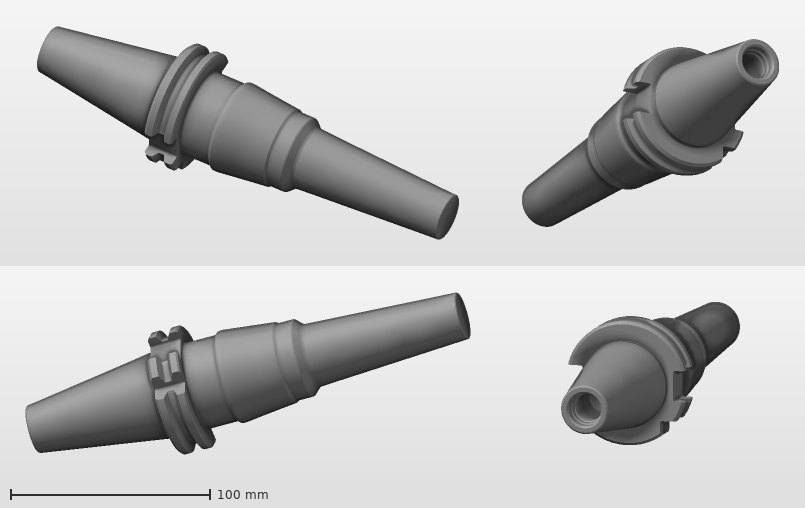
import cadquery as cq
import math

total_length = 228.2

gauge_x = 67.5
gauge_radius = 22.1
shank_slope = 7 / 48
shank_end_chamfer = 0.7
neck_start_x = 69.0
neck_radius = 21.7
neck_root_fillet = 0.5

flange_start_x = 71.0
flange_end_x = 87.0
flange_radius = 31.7
flange_front_chamfer = 1.4
flange_back_chamfer = 1.0
groove_center_x = 79.2
groove_root_fillet = 0.7
groove_floor_radius = 27.8
groove_floor_width = 3.2
groove_flank_angle = 27.0

body_radius = 22.4
body_root_fillet = 1.1
collar_radius = 24.0
collar_start_x = 103.5
collar_end_x = 107.3
collar_root_fillet = 1.0
collar_rim_fillet = 1.4
body_cone_end_x = 134.2
body_cone_end_radius = 21.0
band_start_x = 135.5
band_radius = 20.0
band_root_fillet = 1.1
band_end_x = 143.8
band_fillet = 1.4

nose_start_x = 148.0
nose_tip_radius = 12.0
nose_angle = 3.0
nose_root_fillet = 2.3
nose_tip_chamfer = 0.5

keyway_width = 16.0
keyway_floor_front = 24.9
keyway_floor_back = 22.5
notch_offset = 18.0
pocket_fillet = 1.1

bore_mouth_radius = 9.4
counterbore_radius = 8.5
counterbore_depth = 4.0
relief_radius = 7.8
thread_radius = 7.0
thread_start_x = 8.0
thread_end_x = 32.0
drill_tip_angle = 59.0


def turned(profile):
    """Revolve a closed (x, radius) outline about the X axis."""
    return cq.Workplane("XY").polyline(profile).close().revolve(360, (0, 0, 0), (1, 0, 0))


def round_rim(solid, x, radius, fillet):
    """Fillet the circular edge of the given radius at station x."""
    reach = 0.11
    outer = radius + reach
    box = cq.selectors.BoxSelector((x - reach, -outer, -outer), (x + reach, outer, outer), boundingbox=True)
    rim = solid.edges(box).edges(cq.selectors.RadiusNthSelector(-1))
    return solid.newObject(rim.vals()).fillet(fillet)


def make_body():
    shank_tip_radius = gauge_radius - gauge_x * shank_slope
    groove_floor_half = groove_floor_width / 2
    groove_depth = flange_radius - groove_floor_radius
    groove_mouth_half = groove_floor_half + groove_depth * math.tan(math.radians(groove_flank_angle))
    collar_rise = collar_radius - body_radius
    nose_root_radius = nose_tip_radius + (total_length - nose_start_x) * math.tan(math.radians(nose_angle))

    profile = [
        (0, 0),
        (0, shank_tip_radius - shank_end_chamfer),
        (shank_end_chamfer, shank_tip_radius + shank_end_chamfer * shank_slope),
        (gauge_x, gauge_radius),
        (neck_start_x, neck_radius),
        (flange_start_x, neck_radius),
        (flange_start_x, flange_radius - flange_front_chamfer),
        (flange_start_x + flange_front_chamfer, flange_radius),
        (groove_center_x - groove_mouth_half, flange_radius),
        (groove_center_x - groove_floor_half, groove_floor_radius),
        (groove_center_x + groove_floor_half, groove_floor_radius),
        (groove_center_x + groove_mouth_half, flange_radius),
        (flange_end_x - flange_back_chamfer, flange_radius),
        (flange_end_x, flange_radius - flange_back_chamfer),
        (flange_end_x, body_radius),
        (collar_start_x, body_radius),
        (collar_start_x + collar_rise, collar_radius),
        (collar_end_x, collar_radius),
        (body_cone_end_x, body_cone_end_radius),
        (band_start_x, band_radius),
        (band_end_x, band_radius),
        (nose_start_x, nose_root_radius),
        (total_length - nose_tip_chamfer, nose_tip_radius),
        (total_length, nose_tip_radius - nose_tip_chamfer),
        (total_length, 0),
    ]
    body = turned(profile)
    body = round_rim(body, flange_start_x, neck_radius, neck_root_fillet)
    for side in (-1, 1):
        root_x = groove_center_x + side * groove_floor_half
        body = round_rim(body, root_x, groove_floor_radius, groove_root_fillet)
    body = round_rim(body, flange_end_x, body_radius, body_root_fillet)
    body = round_rim(body, collar_start_x, body_radius, collar_root_fillet)
    body = round_rim(body, collar_start_x + collar_rise, collar_radius, collar_rim_fillet)
    body = round_rim(body, band_start_x, band_radius, band_root_fillet)
    body = round_rim(body, band_end_x, band_radius, band_fillet)
    return round_rim(body, nose_start_x, nose_root_radius, nose_root_fillet)


def flange_pocket(y_floor, y_side, z_low, z_high, rounded_edges):
    """Block across the flange from y_floor outwards, rounded at its floor corners."""
    flange_width = flange_end_x - flange_start_x
    block = (
        cq.Workplane("XY")
        .box(flange_width, flange_radius, z_high - z_low, centered=False)
        .translate((flange_start_x, y_floor if y_side > 0 else y_floor - flange_radius, z_low))
    )
    return block.edges(rounded_edges).fillet(pocket_fillet)


def make_pockets():
    half = keyway_width / 2
    front_keyway = flange_pocket(-keyway_floor_front, -1, -half, half, "|X and >Y")
    back_keyway = flange_pocket(keyway_floor_back, 1, -half, half, "|X and <Y")
    notch = flange_pocket(-notch_offset, -1, -flange_radius, -notch_offset, "|X and >Y and >Z")
    return front_keyway.union(back_keyway).union(notch)


def make_bore():
    drill_tip_length = thread_radius / math.tan(math.radians(drill_tip_angle))
    return turned([
        (0, 0),
        (0, bore_mouth_radius),
        (bore_mouth_radius - counterbore_radius, counterbore_radius),
        (counterbore_depth, counterbore_radius),
        (counterbore_depth + counterbore_radius - relief_radius, relief_radius),
        (thread_start_x - (relief_radius - thread_radius), relief_radius),
        (thread_start_x, thread_radius),
        (thread_end_x, thread_radius),
        (thread_end_x + drill_tip_length, 0),
    ])


result = make_body().cut(make_pockets()).cut(make_bore())